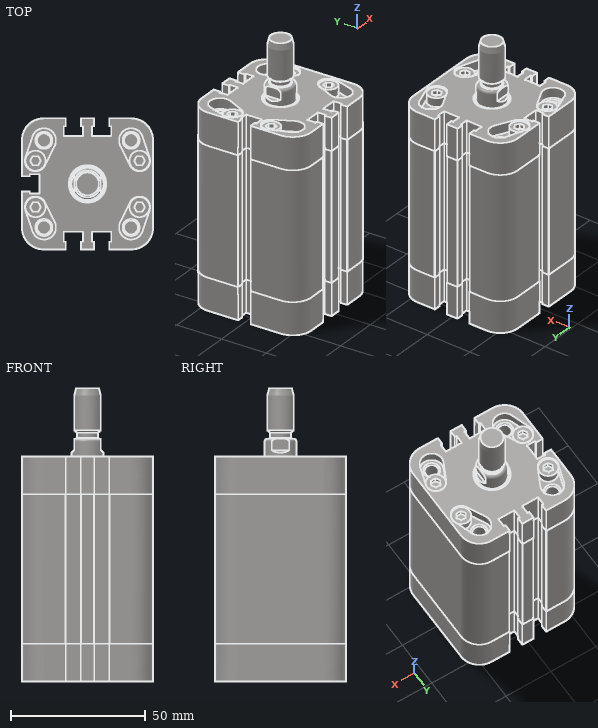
import cadquery as cq
import math

body_width = 49.0
overall_height = 109.5
cap_height = 14.1
barrel_length = 55.8
barrel_bottom = cap_height
barrel_top = barrel_bottom + barrel_length
body_top = barrel_top + cap_height
corner_radius = 8.22
cap_end_corner_radius = 8.19
cap_draft = math.degrees(math.atan((corner_radius - cap_end_corner_radius) / cap_height))

slot_mouth_width = 5.6
slot_inner_width = 7.1
slot_lip_depth = 3.0
slot_depth = 6.6
slot_offset = 5.3
slot_edge_chamfer = 0.2
slot_overshoot = 0.5

recess_depth = 4.5
mount_position = 16.25
mount_hole_diameter = 5.2
mount_countersink_diameter = 6.4
recess_mount_diameter = 9.0
screw_x = 19.4
screw_y = 8.65
recess_screw_diameter = 7.9
screw_head_diameter = 7.5
screw_head_height = 3.9
socket_across_flats = 3.5
socket_depth = 2.0

rod_diameter = 12.0
wiper_mouth_diameter = 14.0
wiper_groove_diameter = 13.7
wiper_groove_depth = 0.3
rod_bore_mouth_diameter = 12.54
thread_diameter = 10.0
thread_tip_diameter = 8.57
thread_tip_length = 2.7
neck_diameter = 7.9
neck_bottom = 90.7
neck_length = 2.2
neck_flare = 0.35
thread_bottom = 93.7
shoulder_radius = 1.2
flats_width = 10.0
flats_clearance = 2.4
flats_bottom = body_top + flats_clearance


def t_slot(chamfer):
    """T-slot outline cutting inward from the middle of the -Y side; the mouth flares at 45 degrees."""
    face = -body_width / 2
    mouth = slot_mouth_width / 2
    inner = slot_inner_width / 2
    half_outline = [
        (mouth + chamfer + slot_overshoot, face - slot_overshoot),
        (mouth, face + chamfer),
        (mouth, face + slot_lip_depth),
        (inner, face + slot_lip_depth),
        (inner, face + slot_depth),
    ]
    mirrored = [(-x, y) for x, y in reversed(half_outline)]
    return cq.Workplane("XY").polyline(half_outline + mirrored).close()


def cut_slots(body, chamfer=0.0):
    """Cut two slots in the front and back sides and one in the -X side, over the full height."""
    slot = t_slot(chamfer).extrude(body_top)
    for side in (1, -1):
        for offset in (-slot_offset, slot_offset):
            placed = slot.translate((offset, 0, 0))
            if side < 0:
                placed = placed.mirror("XZ")
            body = body.cut(placed)
    return body.cut(slot.rotate((0, 0, 0), (0, 0, 1), -90))


def body_outline():
    """Square with rounded corners shared by the barrel and the caps."""
    return cq.Sketch().rect(body_width, body_width).vertices().fillet(corner_radius)


def make_barrel():
    block = cq.Workplane("XY").placeSketch(body_outline()).extrude(barrel_length)
    return cut_slots(block.translate((0, 0, barrel_bottom)), slot_edge_chamfer)


def cap_block():
    """Plain cap standing on its wide face at Z = 0."""
    return cq.Workplane("XY").placeSketch(body_outline()).extrude(cap_height, taper=cap_draft)


def make_end_cap():
    return cut_slots(cap_block().mirror("XY").translate((0, 0, cap_height)))


def screw_recess():
    """Pocket joining a mounting hole and a screw, in the +X +Y corner."""
    mount_radius = recess_mount_diameter / 2
    screw_radius = recess_screw_diameter / 2
    run_x = mount_position - screw_x
    run_y = mount_position - screw_y
    spacing = math.hypot(run_x, run_y)
    axis_angle = math.atan2(run_y, run_x)
    spread = math.acos((mount_radius - screw_radius) / spacing)

    def rim(cx, cy, radius, angle):
        return (cx + radius * math.cos(angle), cy + radius * math.sin(angle))

    def mount_rim(angle):
        return rim(mount_position, mount_position, mount_radius, angle)

    def screw_rim(angle):
        return rim(screw_x, screw_y, screw_radius, angle)

    right_tangent = axis_angle - math.pi + spread
    left_tangent = axis_angle + math.pi - spread
    return (
        cq.Workplane("XY", origin=(0, 0, body_top - recess_depth))
        .moveTo(*screw_rim(right_tangent))
        .lineTo(*mount_rim(right_tangent))
        .threePointArc(mount_rim(axis_angle), mount_rim(left_tangent))
        .lineTo(*screw_rim(left_tangent))
        .threePointArc(screw_rim(axis_angle + math.pi), screw_rim(right_tangent))
        .close()
        .extrude(recess_depth)
    )


def mount_hole():
    """Countersunk mounting hole from the recess floor down to the barrel."""
    floor = body_top - recess_depth
    radius = mount_hole_diameter / 2
    countersink_radius = mount_countersink_diameter / 2
    profile = [
        (0, barrel_top),
        (radius, barrel_top),
        (radius, floor - (countersink_radius - radius)),
        (countersink_radius, floor),
        (0, floor),
    ]
    hole = cq.Workplane("XZ").polyline(profile).close().revolve(360, (0, 0), (0, 1))
    return hole.translate((mount_position, mount_position, 0))


def screw_head():
    """Socket screw head standing on the recess floor."""
    socket_corners = socket_across_flats / math.cos(math.pi / 6)
    return (
        cq.Workplane("XY", origin=(screw_x, screw_y, body_top - recess_depth))
        .circle(screw_head_diameter / 2)
        .extrude(screw_head_height)
        .faces(">Z")
        .workplane()
        .polygon(6, socket_corners)
        .cutBlind(-socket_depth)
    )


def at_corners(feature):
    """The four copies of a feature of the +X +Y corner, mirrored into each corner."""
    right_pair = [feature, feature.mirror("XZ")]
    return right_pair + [copy.mirror("YZ") for copy in right_pair]


def rod_bore():
    """Rod bore with a chamfered wiper groove at the top and a chamfer below the groove."""
    bore_radius = rod_diameter / 2
    bore_mouth_radius = rod_bore_mouth_diameter / 2
    groove_radius = wiper_groove_diameter / 2
    mouth_radius = wiper_mouth_diameter / 2
    groove_floor = body_top - wiper_groove_depth
    profile = [
        (0, barrel_top),
        (bore_radius, barrel_top),
        (bore_radius, groove_floor - (bore_mouth_radius - bore_radius)),
        (bore_mouth_radius, groove_floor),
        (groove_radius, groove_floor),
        (groove_radius, body_top - (mouth_radius - groove_radius)),
        (mouth_radius, body_top),
        (0, body_top),
    ]
    return cq.Workplane("XZ").polyline(profile).close().revolve(360, (0, 0), (0, 1))


def make_head_cap():
    cap = cut_slots(cap_block().translate((0, 0, barrel_top)))
    for recess in at_corners(screw_recess()):
        cap = cap.cut(recess)
    for hole in at_corners(mount_hole()):
        cap = cap.cut(hole)
    for head in at_corners(screw_head()):
        cap = cap.union(head)
    return cap.cut(rod_bore())


def make_rod():
    rod_radius = rod_diameter / 2
    thread_radius = thread_diameter / 2
    neck_radius = neck_diameter / 2
    bend = shoulder_radius * (1 - math.sqrt(0.5))
    rod = (
        cq.Workplane("XZ")
        .moveTo(0, barrel_top)
        .lineTo(rod_radius, barrel_top)
        .lineTo(rod_radius, neck_bottom - shoulder_radius)
        .threePointArc((rod_radius - bend, neck_bottom - bend), (rod_radius - shoulder_radius, neck_bottom))
        .lineTo(neck_radius + neck_flare, neck_bottom)
        .lineTo(neck_radius, neck_bottom + neck_flare)
        .lineTo(neck_radius, neck_bottom + neck_length)
        .lineTo(thread_radius, thread_bottom)
        .lineTo(thread_radius, overall_height - thread_tip_length)
        .lineTo(thread_tip_diameter / 2, overall_height)
        .lineTo(0, overall_height)
        .close()
        .revolve(360, (0, 0), (0, 1))
    )
    flat = flats_width / 2
    run_out = rod_radius - flat
    flat_outline = [
        (flat, neck_bottom),
        (flat, flats_bottom),
        (flat + run_out, flats_bottom - run_out),
        (flat + run_out, neck_bottom),
    ]
    cutter = cq.Workplane("XZ").polyline(flat_outline).close().extrude(rod_diameter, both=True)
    return rod.cut(cutter).cut(cutter.mirror("YZ"))


barrel = make_barrel()
end_cap = make_end_cap()
head_cap = make_head_cap()
rod = make_rod()

result = cq.Compound.makeCompound([barrel.val(), end_cap.val(), head_cap.val(), rod.val()])